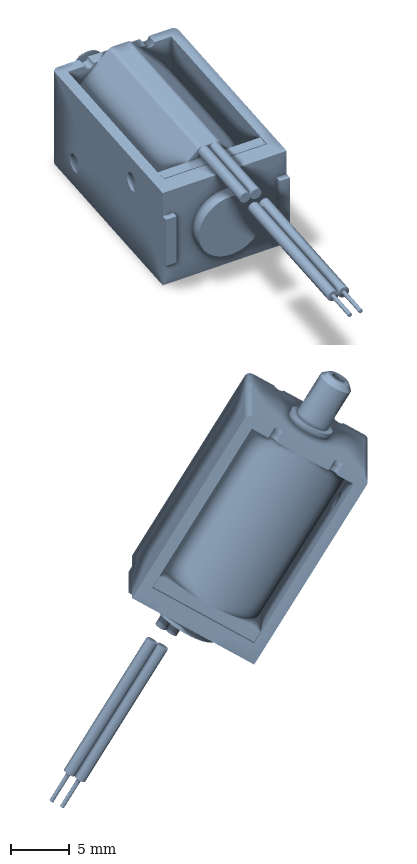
import cadquery as cq
import math

overall_length = 47.5

frame_width = 12.0
frame_height = 9.98
wall = 1.0
frame_front_x = 5.05
frame_rear_x = 22.9
corner_radius = 0.5
notch_radius = 0.45
notch_offset_y = 2.95

tab_height = 5.0
tab_rear_x = 25.1

hole_diameter = 1.75
hole_places = ((9.02, 2.5), (19.1, 7.45))

coil_clearance = 0.05
coil_rear_x = 21.75
ridge_top_z = 11.05
ridge_edge_radius = 0.5

flange_thickness = 1.0
flange_clearance = 0.05
plate_thickness = 1.6
boss_diameter = 6.25
boss_length = 1.15

nozzle_diameter = 3.0
nozzle_collar_diameter = 4.0
nozzle_collar_thickness = 0.55
nozzle_chamfer = 0.48
nozzle_bore_diameter = 1.3

wire_diameter = 1.05
lead_rear_x = 29.05
loose_front_x = 30.55
loose_rear_x = 44.5
core_diameter = 0.4

axis_z = frame_height / 2
inner_front_x = frame_front_x + wall
inner_width = frame_width - 2 * wall
plate_rear_x = frame_rear_x + plate_thickness
wire_axis_z = ridge_top_z - wire_diameter / 2
wire_offsets_y = (-wire_diameter / 2, wire_diameter / 2)


def block(x_start, x_end, width, z_start, z_end):
    """Box centred on Y = 0 between the given X and Z limits."""
    corner = (x_start, -width / 2, z_start)
    return cq.Workplane("XY").box(x_end - x_start, width, z_end - z_start, centered=False).translate(corner)


def rod(x_start, x_end, diameter, y=0.0, z=axis_z):
    """Cylinder along X between the given X limits."""
    plane = cq.Workplane("YZ", origin=(x_start, y, z))
    return plane.circle(diameter / 2).extrude(x_end - x_start)


def side_tabs():
    """Space taken by both side tabs, from the frame's rear edge to the tab ends."""
    z_start = axis_z - tab_height / 2
    z_end = axis_z + tab_height / 2
    outer = block(frame_rear_x, tab_rear_x, frame_width, z_start, z_end)
    inner = block(frame_rear_x, tab_rear_x, inner_width, z_start, z_end)
    return outer.cut(inner)


def make_frame():
    frame = block(frame_front_x, frame_rear_x, frame_width, 0, frame_height)
    frame = frame.edges("|Z and <X").fillet(corner_radius)
    frame = frame.cut(block(inner_front_x, frame_rear_x, inner_width, 0, frame_height))
    frame = frame.union(side_tabs())

    for z in (0, frame_height):
        for y in (-notch_offset_y, notch_offset_y):
            frame = frame.cut(rod(frame_front_x, inner_front_x, 2 * notch_radius, y, z))

    for x, z in hole_places:
        drill = cq.Workplane("XZ", origin=(x, -inner_width / 2, z)).circle(hole_diameter / 2).extrude(wall)
        frame = frame.cut(drill)
    return frame


def make_coil():
    length = coil_rear_x - inner_front_x
    radius = inner_width / 2 - coil_clearance
    tangent = radius * math.sin(math.radians(45))
    ridge_height = ridge_top_z - axis_z
    ridge_half_width = 2 * tangent - ridge_height
    ridge = (
        cq.Workplane("YZ", origin=(inner_front_x, 0, axis_z))
        .polyline([
            (0, 0),
            (tangent, tangent),
            (ridge_half_width, ridge_height),
            (-ridge_half_width, ridge_height),
            (-tangent, tangent),
        ])
        .close()
        .extrude(length)
        .faces(">Z")
        .edges("|X")
        .fillet(ridge_edge_radius)
    )
    return rod(inner_front_x, coil_rear_x, 2 * radius).union(ridge)


def make_bobbin_flange():
    width = inner_width - 2 * flange_clearance
    top_z = frame_height - flange_clearance
    return block(coil_rear_x, coil_rear_x + flange_thickness, width, flange_clearance, top_z)


def make_end_plate():
    return block(frame_rear_x, plate_rear_x, frame_width, 0, frame_height).cut(side_tabs())


def make_boss():
    return rod(plate_rear_x, plate_rear_x + boss_length, boss_diameter)


def make_nozzle():
    tube = rod(0, frame_front_x, nozzle_diameter).faces("<X").chamfer(nozzle_chamfer)
    collar = rod(frame_front_x - nozzle_collar_thickness, frame_front_x, nozzle_collar_diameter)
    return tube.union(collar).cut(rod(0, frame_front_x, nozzle_bore_diameter))


def make_lead_wire(y):
    return rod(coil_rear_x, lead_rear_x, wire_diameter, y, wire_axis_z)


def make_loose_wire(y):
    sleeve = rod(loose_front_x, loose_rear_x, wire_diameter, y, wire_axis_z)
    core = rod(loose_rear_x, overall_length, core_diameter, y, wire_axis_z)
    return sleeve.union(core)


frame = make_frame()
coil = make_coil()
bobbin_flange = make_bobbin_flange()
end_plate = make_end_plate()
boss = make_boss()
nozzle = make_nozzle()
lead_wires = [make_lead_wire(y).val() for y in wire_offsets_y]
loose_wires = [make_loose_wire(y).val() for y in wire_offsets_y]

result = cq.Compound.makeCompound([
    frame.val(),
    coil.val(),
    bobbin_flange.val(),
    end_plate.val(),
    boss.val(),
    nozzle.val(),
    *lead_wires,
    *loose_wires,
])